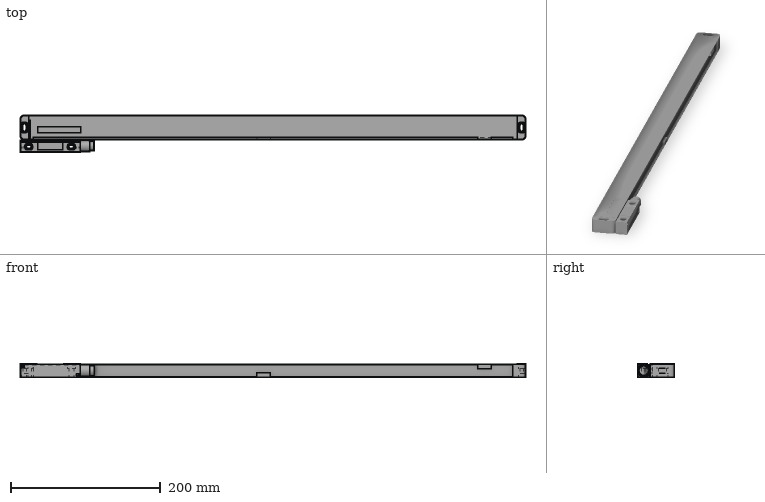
import cadquery as cq

total_length = 675.0
total_depth = 49.0
height = 18.0
mid_height = height / 2

scale_depth = 32.5
scale_front = total_depth - scale_depth
scale_corner_radius = 5.5
cap_length = 11.2
extrusion_inset = 0.15
extrusion_top = height - extrusion_inset

seal_groove_width = 2.0
seal_groove_depth = 0.3
seal_groove_back_margin = 6.5

slot_width = 4.5
counterbore_width = 8.4
counterbore_depth = 5.5

cap_slot_inset = 5.5
cap_slot_straight = 6.0

label_length = 57.0
label_width = 8.2
label_start = 23.5
label_front = scale_front + 9.0
label_depth = 0.2

channel_end_inset = 17.5
channel_flange = 1.0
channel_depth = 3.0

lug_length = 18.0
lug_height = 6.0
upper_lug_center = 620.0
lower_lug_center = 325.0

head_length = 80.0
head_depth = 15.5
head_mid_length = head_length / 2
ledge_front = 13.0
ledge_drop = 0.8

head_slot_first_x = 11.2
head_slot_spacing = 57.0
head_slot_y = 7.0
head_slot_straight = 2.3

dish_floor_length = 33.0
dish_ramp_length = 2.0
dish_depth = 0.3
pocket_front = 3.2
pocket_depth = 0.3

screw_hole_inset = 3.5
screw_hole_diameter = 3.4
screw_hole_depth = 7.0

gland_y = 8.2
gland_collar_diameter = 15.6
gland_collar_length = 12.5
gland_tip_diameter = 13.0
gland_tip_length = 6.2


def box(x_range, y_range, z_range):
    """Axis-aligned box between the given limits."""
    sizes = [high - low for low, high in (x_range, y_range, z_range)]
    return (
        cq.Workplane("XY")
        .box(*sizes, centered=False)
        .translate((x_range[0], y_range[0], z_range[0]))
    )


def obround(x, y, straight, width, angle, bottom, top):
    """Vertical obround prism, elongated at the given angle from X."""
    return (
        cq.Workplane("XY", origin=(x, y, bottom))
        .slot2D(straight + width, width, angle)
        .extrude(top - bottom)
    )


def channel_lug(center, bottom):
    """Block that fills the channel flush with the flanges over a short length."""
    return box(
        (center - lug_length / 2, center + lug_length / 2),
        (scale_front, scale_front + channel_depth),
        (bottom, bottom + lug_height),
    )


def make_scale_unit():
    """Extrusion and both end caps as one solid."""
    body = box((0, total_length), (scale_front, total_depth), (0, height))
    body = body.edges("|Z").fillet(scale_corner_radius)

    extrusion_x = (cap_length, total_length - cap_length)
    for z_range in ((0, extrusion_inset), (extrusion_top, height)):
        body = body.cut(box(extrusion_x, (scale_front, total_depth), z_range))

    body = body.cut(
        box(
            (channel_end_inset, total_length - channel_end_inset),
            (scale_front, scale_front + channel_depth),
            (channel_flange, height - channel_flange),
        )
    )
    body = body.union(channel_lug(upper_lug_center, extrusion_top - lug_height))
    body = body.union(channel_lug(lower_lug_center, extrusion_inset))

    slot_y = scale_front + scale_depth / 2
    for x in (cap_slot_inset, total_length - cap_slot_inset):
        body = body.cut(obround(x, slot_y, cap_slot_straight, slot_width, 90, 0, height))
        for bottom in (0, height - counterbore_depth):
            top = bottom + counterbore_depth
            body = body.cut(obround(x, slot_y, cap_slot_straight, counterbore_width, 90, bottom, top))

    body = body.cut(
        box(
            (cap_length, cap_length + seal_groove_width),
            (scale_front, total_depth - seal_groove_back_margin),
            (extrusion_top - seal_groove_depth, extrusion_top),
        )
    )
    return body.cut(
        box(
            (label_start, label_start + label_length),
            (label_front, label_front + label_width),
            (extrusion_top - label_depth, extrusion_top),
        )
    )


def dish_cutter():
    """Shallow trough across the head with sloping ends and a pocket in its floor."""
    half_floor = dish_floor_length / 2
    half_top = half_floor + dish_ramp_length
    floor = height - dish_depth
    trough = (
        cq.Workplane("XZ", origin=(head_mid_length, 0, 0))
        .polyline([(-half_top, height), (-half_floor, floor), (half_floor, floor), (half_top, height)])
        .close()
        .extrude(-ledge_front)
    )
    pocket = box(
        (head_mid_length - half_floor, head_mid_length + half_floor),
        (pocket_front, ledge_front),
        (floor - pocket_depth, floor),
    )
    return trough.union(pocket)


def cable_gland():
    """Collar and narrower tip, coaxial along X."""
    end_plane = cq.Workplane(cq.Plane((head_length, gland_y, mid_height), (0, 0, 1), (1, 0, 0)))
    collar = end_plane.circle(gland_collar_diameter / 2).extrude(gland_collar_length)
    tip = end_plane.circle(gland_tip_diameter / 2).extrude(gland_collar_length + gland_tip_length)
    return collar.union(tip)


def make_reading_head():
    """Head block with its cable gland as one solid."""
    body = box((0, head_length), (0, head_depth), (0, height))

    body = body.cut(
        box((0, head_length), (ledge_front, head_depth), (height - ledge_drop, height))
    )
    body = body.cut(dish_cutter())

    seat = height - counterbore_depth
    for x in (head_slot_first_x, head_slot_first_x + head_slot_spacing):
        body = body.cut(obround(x, head_slot_y, head_slot_straight, slot_width, 0, 0, height))
        body = body.cut(obround(x, head_slot_y, head_slot_straight, counterbore_width, 0, seat, height))

    screw_holes = (
        cq.Workplane("XZ")
        .pushPoints(
            [
                (screw_hole_inset, height - screw_hole_inset),
                (head_length - screw_hole_inset, screw_hole_inset),
            ]
        )
        .circle(screw_hole_diameter / 2)
        .extrude(-screw_hole_depth)
    )
    return body.cut(screw_holes).union(cable_gland())


scale_unit = make_scale_unit()
reading_head = make_reading_head()

result = cq.Compound.makeCompound([scale_unit.solids().val(), reading_head.solids().val()])